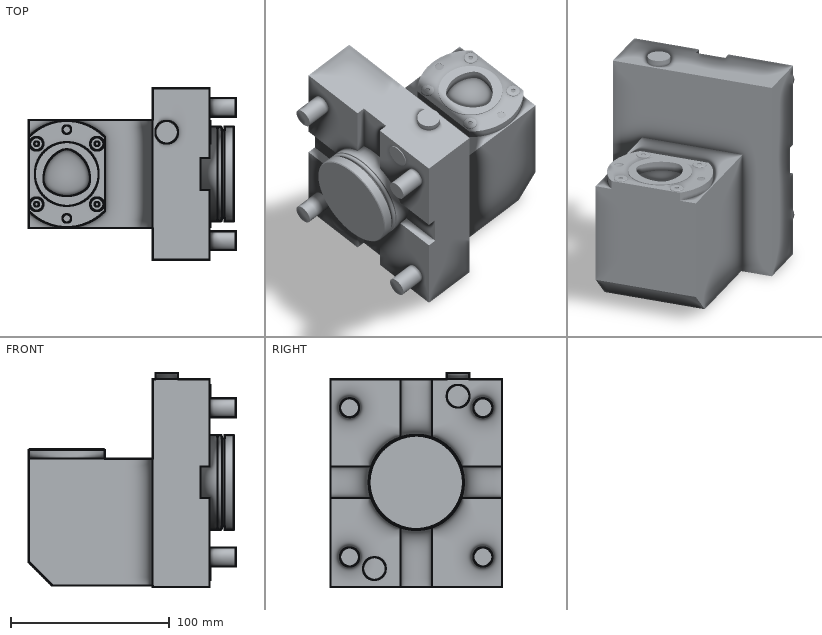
import cadquery as cq
import math

PLATE_BACK = 78.0
PLATE_THICKNESS = 35.9
PLATE_WIDTH = 108.0
PLATE_HEIGHT = 131.0
PLATE_FACE = PLATE_BACK + PLATE_THICKNESS
AXIS_Z = 66.0

KEYWAY_WIDTH = 20.0
KEYWAY_DEPTH = 5.5

HOUSING_WIDTH = 68.0
HOUSING_BOTTOM = 1.0
HOUSING_TOP = 81.0
HOUSING_CHAMFER = 15.0

FLANGE_RADIUS = 33.5
FLANGE_LENGTH = 48.0
FLANGE_THICKNESS = 5.5
FLANGE_TOP = HOUSING_TOP + FLANGE_THICKNESS
FLANGE_X = FLANGE_LENGTH / 2
RAISED_STEP = 0.5
RING_RADIUS = 20.1

SOCKET_SIDE_ARC = 19.5
SOCKET_SIDE_OFFSET = 5.5
SOCKET_CORNER_ARC = 8.1

SCREW_OFFSET = 19.0
SCREW_HEAD_RADIUS = 4.3
SCREW_HEAD_CHAMFER = 0.3
DRIVE_RADIUS = 1.5
DRIVE_DEPTH = 0.5
PIN_OFFSET = 28.0
PIN_RADIUS = 2.7
PIN_HOLE_DEPTH = 0.3

SPIGOT_RADIUS = 30.0
SPIGOT_LENGTH = 15.5
SPIGOT_CHAMFER = 0.5
SPIGOT_END = PLATE_FACE + SPIGOT_LENGTH
GROOVE_START = PLATE_FACE + 5.0
GROOVE_WIDTH = 4.5
GROOVE_DEPTH = 2.3
SEAL_RADIUS = 1.4

BOLT_DIAMETER = 12.0
BOLT_LENGTH = 16.6
BOLT_Y = 42.0
BOLT_Z = 47.0

PLUG_RADIUS = 7.2
PLUG_Y = 26.3
TOP_PLUG_X = 87.0
TOP_PLUG_HEIGHT = 4.0
FACE_PLUG_Z = 54.3
FACE_PLUG_HEIGHT = 0.5


def rod_x(start, length, radius, y, z):
    """Cylinder pointing along +X."""
    return cq.Workplane("YZ", origin=(start, y, z)).circle(radius).extrude(length)


def rod_z(bottom, height, radius, x, y):
    """Cylinder pointing along +Z."""
    return cq.Workplane("XY", origin=(x, y, bottom)).circle(radius).extrude(height)


def mounting_plate():
    blank = cq.Workplane("XY", origin=(PLATE_BACK, 0, 0))
    plate = blank.box(PLATE_THICKNESS, PLATE_WIDTH, PLATE_HEIGHT, centered=(False, True, False))
    centre = (PLATE_FACE, 0, AXIS_Z)
    along_y = cq.Workplane("XY").box(2 * KEYWAY_DEPTH, PLATE_WIDTH, KEYWAY_WIDTH).translate(centre)
    along_z = cq.Workplane("XY").box(2 * KEYWAY_DEPTH, KEYWAY_WIDTH, 2 * PLATE_HEIGHT).translate(centre)
    return plate.cut(along_y).cut(along_z)


def housing():
    side = (
        cq.Workplane("XZ")
        .moveTo(HOUSING_CHAMFER, HOUSING_BOTTOM)
        .lineTo(PLATE_BACK, HOUSING_BOTTOM)
        .lineTo(PLATE_BACK, HOUSING_TOP)
        .lineTo(0, HOUSING_TOP)
        .lineTo(0, HOUSING_BOTTOM + HOUSING_CHAMFER)
        .close()
    )
    return side.extrude(HOUSING_WIDTH / 2, both=True)


def polar(radius, degrees):
    angle = math.radians(degrees)
    return cq.Vector(radius * math.cos(angle), radius * math.sin(angle))


def tool_socket():
    """Three shallow side arcs joined by tangent corner arcs, one corner towards +Y."""
    centre_distance = SOCKET_SIDE_ARC - SOCKET_CORNER_ARC
    sideways = SOCKET_SIDE_OFFSET * math.sin(math.radians(60))
    corner_offset = math.sqrt(centre_distance**2 - sideways**2) - SOCKET_SIDE_OFFSET / 2
    half_span = math.degrees(math.asin(sideways / centre_distance))

    def corner_point(corner, turn):
        """Point on one corner arc, turned from the middle of that corner."""
        return (polar(corner_offset, corner) + polar(SOCKET_CORNER_ARC, corner + turn)).toTuple()[:2]

    outline = cq.Workplane("XY", origin=(FLANGE_X, 0, HOUSING_TOP)).moveTo(*corner_point(90, -half_span))
    for corner in (90, 210, 330):
        outline = outline.threePointArc(corner_point(corner, 0), corner_point(corner, half_span))
        side_middle = polar(SOCKET_SIDE_ARC - SOCKET_SIDE_OFFSET, corner + 60).toTuple()[:2]
        outline = outline.threePointArc(side_middle, corner_point(corner + 120, -half_span))
    return outline.close().extrude(FLANGE_THICKNESS + RAISED_STEP)


def screw_head():
    head = cq.Workplane("XY").circle(SCREW_HEAD_RADIUS).extrude(RAISED_STEP)
    head = head.faces(">Z").chamfer(SCREW_HEAD_CHAMFER)
    return head.cut(rod_z(RAISED_STEP - DRIVE_DEPTH, DRIVE_DEPTH, DRIVE_RADIUS, 0, 0))


def tool_flange():
    disc = rod_z(HOUSING_TOP, FLANGE_THICKNESS, FLANGE_RADIUS, FLANGE_X, 0)
    flats = cq.Workplane("XY").box(FLANGE_LENGTH, 2 * FLANGE_RADIUS, 2 * FLANGE_TOP, centered=(False, True, False))
    flange = disc.intersect(flats)
    flange = flange.union(rod_z(FLANGE_TOP, RAISED_STEP, RING_RADIUS, FLANGE_X, 0))

    for side in (-1, 1):
        pin_hole = rod_z(FLANGE_TOP - PIN_HOLE_DEPTH, PIN_HOLE_DEPTH, PIN_RADIUS, FLANGE_X, side * PIN_OFFSET)
        flange = flange.cut(pin_hole)

    for side_x in (-1, 1):
        for side_y in (-1, 1):
            place = (FLANGE_X + side_x * SCREW_OFFSET, side_y * SCREW_OFFSET, FLANGE_TOP)
            flange = flange.union(screw_head().translate(place))
    return flange.cut(tool_socket())


def spigot():
    """Turned spigot; its seal lies in the groove against the wall nearest the plate."""
    root = PLATE_FACE - KEYWAY_DEPTH
    floor_radius = SPIGOT_RADIUS - GROOVE_DEPTH
    seal_x = GROOVE_START + SEAL_RADIUS
    seal_centre_radius = SPIGOT_RADIUS - SEAL_RADIUS
    seal_foot = seal_x + math.sqrt(SEAL_RADIUS**2 - (seal_centre_radius - floor_radius) ** 2)
    profile = (
        cq.Workplane("XY", origin=(0, 0, AXIS_Z))
        .moveTo(root, 0)
        .lineTo(root, -SPIGOT_RADIUS)
        .lineTo(GROOVE_START, -SPIGOT_RADIUS)
        .lineTo(GROOVE_START, -seal_centre_radius)
        .threePointArc((seal_x, -SPIGOT_RADIUS), (seal_foot, -floor_radius))
        .lineTo(GROOVE_START + GROOVE_WIDTH, -floor_radius)
        .lineTo(GROOVE_START + GROOVE_WIDTH, -SPIGOT_RADIUS)
        .lineTo(SPIGOT_END - SPIGOT_CHAMFER, -SPIGOT_RADIUS)
        .lineTo(SPIGOT_END, SPIGOT_CHAMFER - SPIGOT_RADIUS)
        .lineTo(SPIGOT_END, 0)
        .close()
    )
    return profile.revolve(360, (0, 0, 0), (1, 0, 0))


def bolts():
    shanks = cq.Workplane("XY")
    for side_y in (-1, 1):
        for side_z in (-1, 1):
            bolt_z = AXIS_Z + side_z * BOLT_Z
            shanks = shanks.union(rod_x(PLATE_FACE, BOLT_LENGTH, BOLT_DIAMETER / 2, side_y * BOLT_Y, bolt_z))
    return shanks


def plugs():
    """One plug on top of the plate, two diagonally opposite on the mounting face."""
    discs = rod_z(PLATE_HEIGHT, TOP_PLUG_HEIGHT, PLUG_RADIUS, TOP_PLUG_X, PLUG_Y)
    for side in (-1, 1):
        plug_z = AXIS_Z + side * FACE_PLUG_Z
        discs = discs.union(rod_x(PLATE_FACE, FACE_PLUG_HEIGHT, PLUG_RADIUS, side * PLUG_Y, plug_z))
    return discs


result = mounting_plate()
for section in (housing(), tool_flange(), spigot(), bolts(), plugs()):
    result = result.union(section)